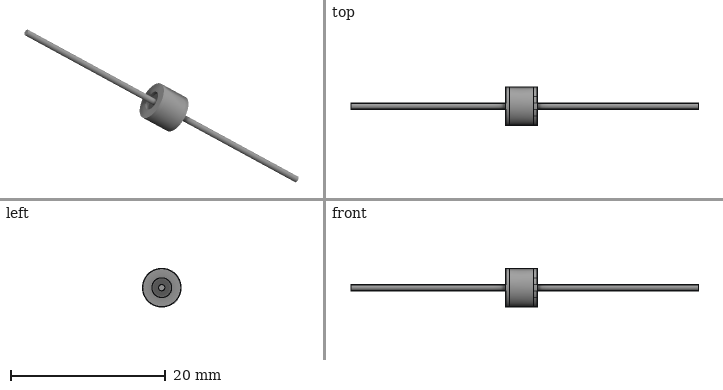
import cadquery as cq

overall_length = 45.0
lead_length = 20.02
body_length = 4.1
body_start = -overall_length / 2 + lead_length
body_end = body_start + body_length

body_diameter = 5.0
ring_thickness = 0.5
ring_bore = 2.55
lead_diameter = 0.8


def x_cylinder(diameter, start, length):
    """Solid cylinder along the X axis, growing toward +X from the start position."""
    return cq.Workplane("YZ", origin=(start, 0, 0)).circle(diameter / 2).extrude(length)


def make_core():
    """Middle cylinder with a lead running out along the axis from each end."""
    cylinder = x_cylinder(body_diameter, body_start + ring_thickness, body_length - 2 * ring_thickness)
    leads = x_cylinder(lead_diameter, -overall_length / 2, overall_length)
    return cylinder.union(leads)


def make_end_ring(start):
    """Flat ring on one end of the core, leaving a round recess about the lead."""
    ring = x_cylinder(body_diameter, start, ring_thickness)
    bore = x_cylinder(ring_bore, start, ring_thickness)
    return ring.cut(bore)


core = make_core()
end_rings = [make_end_ring(start) for start in (body_start, body_end - ring_thickness)]

result = cq.Compound.makeCompound([core.val(), *[ring.val() for ring in end_rings]])